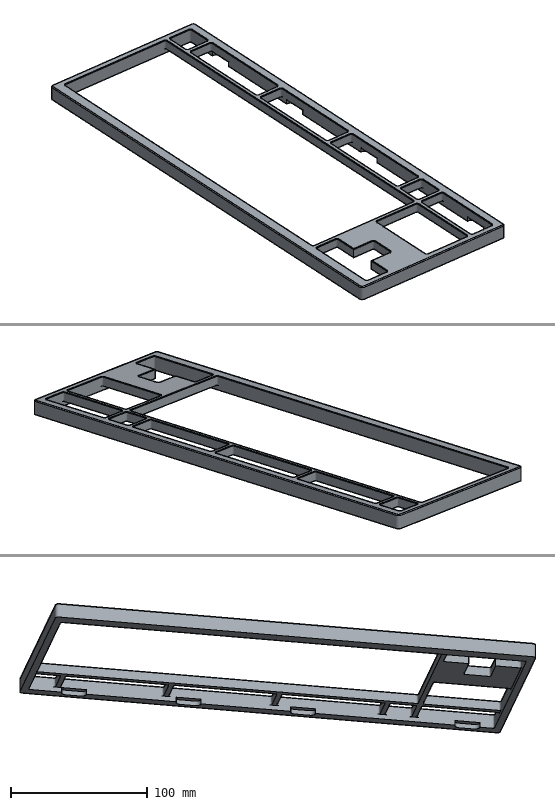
import cadquery as cq

UNIT = 19.05
BLOCK_GAP = UNIT / 4
KEY_CLEARANCE = 0.5
MAIN_COLUMNS = 15
MAIN_ROWS = 5
NAV_COLUMNS = 3
NAV_ROWS = 2
FUNCTION_BLOCKS = (1, 4, 4, 4, 1, NAV_COLUMNS)

LENGTH = 359.61
WIDTH = 136.51
HEIGHT = 11.2
CORNER_RADIUS = 2.53
EDGE_CHAMFER = 0.75

OPENING_RADIUS = 2.53 / 2
OPENING_CHAMFER = 0.5
RECESS_DEPTH = 3.7

POCKET_LENGTH = 18.5
POCKET_DEPTH = 4.0
POCKET_RADIUS = 3.5
POCKET_PITCH = 4.5 * UNIT
POCKETS_AT_PITCH = 3
FIRST_POCKET_X = -140.2
NAV_POCKET_X = 154.3

FIELD_LENGTH = (MAIN_COLUMNS + NAV_COLUMNS) * UNIT + BLOCK_GAP
FIELD_WIDTH = (MAIN_ROWS + 1) * UNIT + BLOCK_GAP
FIELD_SHIFT_Y = 0.8
FIELD_LEFT = -FIELD_LENGTH / 2
FIELD_FRONT = FIELD_SHIFT_Y - FIELD_WIDTH / 2
FIELD_REAR = FIELD_FRONT + FIELD_WIDTH + KEY_CLEARANCE
NAV_LEFT = FIELD_LEFT + MAIN_COLUMNS * UNIT + BLOCK_GAP
NAV_FRONT = FIELD_FRONT + (MAIN_ROWS - NAV_ROWS) * UNIT
FUNCTION_FRONT = FIELD_FRONT + MAIN_ROWS * UNIT + BLOCK_GAP


def rounded_block(left, front, length, width, height):
    """Block standing on the base plane, grown by the key clearance, with rounded corners."""
    return (
        cq.Workplane("XY")
        .box(length + 2 * KEY_CLEARANCE, width + 2 * KEY_CLEARANCE, height, centered=False)
        .edges("|Z")
        .fillet(OPENING_RADIUS)
        .translate((left - KEY_CLEARANCE, front - KEY_CLEARANCE, 0))
    )


def key_opening(left, front, columns, rows):
    return rounded_block(left, front, columns * UNIT, rows * UNIT, HEIGHT)


def function_row_openings():
    openings = cq.Workplane("XY")
    left = FIELD_LEFT
    for columns in FUNCTION_BLOCKS:
        openings = openings.add(key_opening(left, FUNCTION_FRONT, columns, 1))
        left += columns * UNIT + BLOCK_GAP
    return openings.combine()


def arrow_opening():
    """Inverted T: a row of three keys with one more key behind the middle one."""
    row = key_opening(NAV_LEFT, FIELD_FRONT, NAV_COLUMNS, 1)
    stem = key_opening(NAV_LEFT + UNIT, FIELD_FRONT, 1, 2)
    return row.union(stem)


def underside_recess():
    return rounded_block(FIELD_LEFT, FIELD_FRONT, FIELD_LENGTH, FIELD_WIDTH, RECESS_DEPTH)


def rear_pockets():
    centres = [FIRST_POCKET_X + i * POCKET_PITCH for i in range(POCKETS_AT_PITCH)]
    centres.append(NAV_POCKET_X)
    return (
        cq.Workplane("XY")
        .pushPoints([(x, FIELD_REAR) for x in centres])
        .rect(POCKET_LENGTH, 2 * POCKET_DEPTH)
        .extrude(RECESS_DEPTH)
        .edges("|Z and >Y")
        .fillet(POCKET_RADIUS)
    )


def chamfer_openings(body):
    """Chamfer the upper edges of every opening, leaving the outer edge alone."""
    openings = body.faces(">Z").val().innerWires()
    edges = [edge for wire in openings for edge in wire.Edges()]
    return body.newObject(edges).chamfer(OPENING_CHAMFER)


blank = (
    cq.Workplane("XY")
    .box(LENGTH, WIDTH, HEIGHT, centered=(True, True, False))
    .edges("|Z")
    .fillet(CORNER_RADIUS)
    .faces(">Z")
    .edges()
    .chamfer(EDGE_CHAMFER)
)

frame = (
    blank.cut(function_row_openings())
    .cut(key_opening(FIELD_LEFT, FIELD_FRONT, MAIN_COLUMNS, MAIN_ROWS))
    .cut(key_opening(NAV_LEFT, NAV_FRONT, NAV_COLUMNS, NAV_ROWS))
    .cut(arrow_opening())
)

result = chamfer_openings(frame).cut(underside_recess()).cut(rear_pockets())